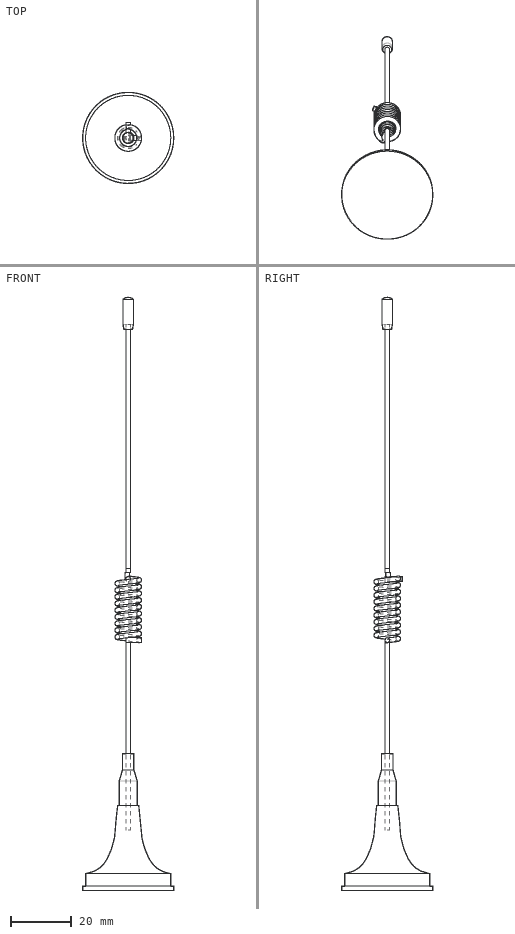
import math

import cadquery as cq

flange_radius = 15.0
flange_top = 1.5
base_radius = 14.0

flare_radius = 11.0
flare_center_height = 16.4
neck_radius = 3.5
neck_top = 28.0
neck_draft = math.radians(7)

collar_radius = 3.0
collar_shoulder = 36.0
collar_top = 39.7
sleeve_radius = 1.9
sleeve_top = 45.0

rod_radius = 0.8
lower_rod_bottom = 20.0
lower_rod_top = 81.5
upper_rod_bottom = 105.9

coil_radius = 3.6
coil_pitch = 2.2
coil_leg_turns = 9.25
coil_overrun_turns = 10 / 360
coil_start_height = 82.25
leg_overhang = rod_radius
bottom_leg_height = lower_rod_top + rod_radius
bottom_leg_reach = 4.4
top_leg_height = 102.4
top_leg_reach = 5.0
stub_offset = 0.3

coupling_bottom = 104.5
coupling_end_radius = 0.75

cap_radius = 1.75
cap_bottom = 184.4
cap_bottom_radius = 1.45
cap_taper_top = 186.1
cap_rim = 194.3
cap_top = 195.0


def cylinder(radius, bottom, top):
    """Solid round bar on the Z axis."""
    return cq.Workplane("XY").workplane(offset=bottom).circle(radius).extrude(top - bottom)


def make_flange():
    return cylinder(flange_radius, 0, flange_top)


def make_base():
    """Skirt, concave flare and drafted neck, bored for the lower rod."""
    tangent_z = flare_center_height - flare_radius * math.sin(neck_draft)
    tangent_r = neck_radius + (neck_top - tangent_z) * math.tan(neck_draft)
    center_r = tangent_r + flare_radius * math.cos(neck_draft)

    end_run = center_r - base_radius
    end_drop = math.sqrt(flare_radius**2 - end_run**2)
    skirt_top = flare_center_height - end_drop

    mid_angle = (neck_draft + math.acos(end_run / flare_radius)) / 2
    flare_mid = (
        center_r - flare_radius * math.cos(mid_angle),
        flare_center_height - flare_radius * math.sin(mid_angle),
    )
    skirt_tangent = (-end_drop, end_run)
    neck_tangent = (-math.sin(neck_draft), math.cos(neck_draft))

    profile = (
        cq.Workplane("XZ")
        .moveTo(0, flange_top)
        .lineTo(base_radius, flange_top)
        .lineTo(base_radius, skirt_top)
        .spline(
            [flare_mid, (tangent_r, tangent_z), (neck_radius, neck_top)],
            tangents=[skirt_tangent, neck_tangent],
            includeCurrent=True,
        )
        .lineTo(0, neck_top)
        .close()
    )
    bore = cylinder(rod_radius, lower_rod_bottom, neck_top)
    return profile.revolve(360, (0, 0), (0, 1)).cut(bore)


def make_collar():
    """Cylinder with a conical shoulder, bored for the lower rod."""
    profile = (
        cq.Workplane("XZ")
        .moveTo(rod_radius, neck_top)
        .lineTo(collar_radius, neck_top)
        .lineTo(collar_radius, collar_shoulder)
        .lineTo(sleeve_radius, collar_top)
        .lineTo(rod_radius, collar_top)
        .close()
    )
    return profile.revolve(360, (0, 0), (0, 1))


def make_sleeve():
    bore = cylinder(rod_radius, collar_top, sleeve_top)
    return cylinder(sleeve_radius, collar_top, sleeve_top).cut(bore)


def make_lower_rod():
    return cylinder(rod_radius, lower_rod_bottom, lower_rod_top)


def make_coil():
    """Helical wire with a leg along X below, a leg along Y above and a short upright stub."""
    height = (coil_leg_turns + coil_overrun_turns) * coil_pitch
    path = cq.Wire.makeHelix(coil_pitch, height, coil_radius)
    helix = cq.Workplane("XZ").center(coil_radius, 0).circle(rod_radius).sweep(path, isFrenet=True)
    helix = helix.translate((0, 0, coil_start_height))

    bottom_leg = (
        cq.Workplane("YZ", origin=(-leg_overhang, 0, bottom_leg_height))
        .circle(rod_radius)
        .extrude(bottom_leg_reach + leg_overhang)
    )
    top_leg = (
        cq.Workplane("XZ", origin=(0, top_leg_reach, top_leg_height))
        .circle(rod_radius)
        .extrude(top_leg_reach + leg_overhang)
    )
    stub = cylinder(rod_radius, top_leg_height, coupling_bottom)
    stub = stub.translate((-stub_offset, stub_offset, 0))
    return helix.union(bottom_leg).union(top_leg).union(stub)


def make_coupling():
    profile = (
        cq.Workplane("XZ")
        .moveTo(0, coupling_bottom)
        .lineTo(coupling_end_radius, coupling_bottom)
        .lineTo(rod_radius, upper_rod_bottom)
        .lineTo(0, upper_rod_bottom)
        .close()
    )
    return profile.revolve(360, (0, 0), (0, 1))


def make_upper_rod():
    return cylinder(rod_radius, upper_rod_bottom, cap_taper_top)


def make_cap():
    """Tip cap with a tapered mouth and a domed crown, recessed for the upper rod."""
    dome_height = cap_top - cap_rim
    dome_radius = (cap_radius**2 + dome_height**2) / (2 * dome_height)
    half_angle = math.asin(cap_radius / dome_radius) / 2
    dome_mid = (
        dome_radius * math.sin(half_angle),
        cap_top - dome_radius * (1 - math.cos(half_angle)),
    )
    profile = (
        cq.Workplane("XZ")
        .moveTo(0, cap_bottom)
        .lineTo(cap_bottom_radius, cap_bottom)
        .lineTo(cap_radius, cap_taper_top)
        .lineTo(cap_radius, cap_rim)
        .threePointArc(dome_mid, (0, cap_top))
        .close()
    )
    recess = cylinder(rod_radius, cap_bottom, cap_taper_top)
    return profile.revolve(360, (0, 0), (0, 1)).cut(recess)


bodies = [
    make_flange(),
    make_base(),
    make_collar(),
    make_sleeve(),
    make_lower_rod(),
    make_coil(),
    make_coupling(),
    make_upper_rod(),
    make_cap(),
]
result = cq.Compound.makeCompound([body.val() for body in bodies])